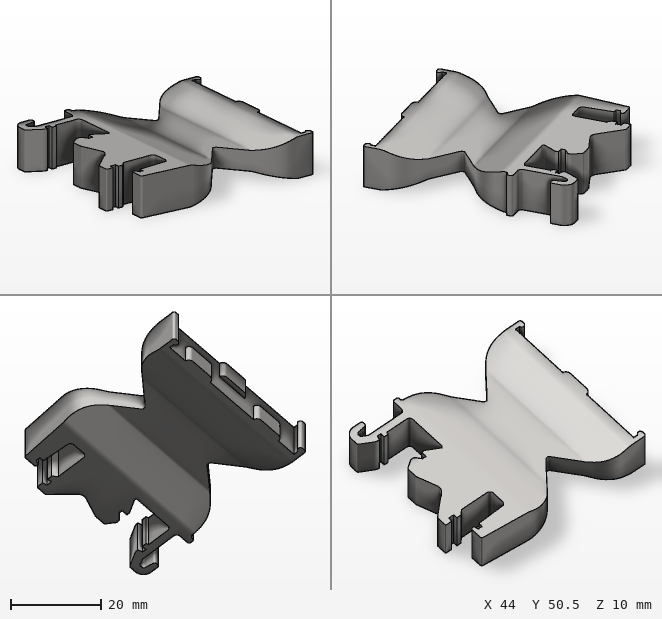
import cadquery as cq
import math


HEIGHT = 50.5
THICKNESS = 10.0

CENTRE_X = 22.45
UPPER_HALF_WIDTH = 21.5
DECK_TOP = 48.0

HOOK_STEM = 1.3
HOOK_BULB = 1.85
HOOK_BULB_DROP = 0.95
HOOK_NECK_DROP = 1.4
HOOK_OUTER_RADIUS = 0.55
HOOK_INNER_RADIUS = 0.7
HOOK_BULB_RADIUS = 0.3

TAB_COUNT = 3
TAB_PITCH = 11.1
TAB_WIDTH = 8.2
TAB_HEIGHT = 1.1
TAB_RADIUS = 1.3

NOTCH_Y = 31.0
NOTCH_HALF_GAP = 10.0
NOTCH_SLOPE = math.tan(math.radians(38.5))
NOTCH_RADIUS = 0.8
SHOULDER_RADIUS = 8.3

BAND_Y = 31.25
BAND_THICKNESS = THICKNESS / 2
BAND_HALF_WIDTH = 5.3
BAND_TAPER = math.radians(15)
BAND_INNER_RADIUS = 2.0
BAND_OUTER_RADIUS = 4.3

DECK_BOTTOM = 14.0
LOWER_LEFT_X = 1.3
LIP_TOP = 15.55
LIP_CHAMFER = 0.4
LIP_RADIUS = 0.45
LEG_ROOT_RADIUS = 1.0

LEFT_LEG_OUTER_X = 3.95
LEFT_LEG_INNER_X = 5.95
LEFT_CATCH_X = 6.55
LEFT_CATCH_TOP = 7.05
LEFT_CATCH_RAMP = 0.25
LEFT_CATCH_GROOVE_X = 5.4
LEFT_CATCH_GROOVE_TOP = 5.9
LEFT_CATCH_GROOVE_BOTTOM = 4.95
LEFT_CATCH_LIP = 4.55
LEFT_CATCH_NOSE = 3.9
LEFT_CATCH_NOSE_RADIUS = 2.4
LEFT_TOE_X = 4.35
LEFT_TOE_RADIUS = 0.5
LEFT_HOOK_RADIUS = 2.45
LEFT_HOOK_TOP = 5.0
LEFT_HOOK_TIP_X = 1.4
LEFT_HOOK_TIP_RADIUS = 0.5
LEFT_HOOK_GAP_FLOOR = 1.95
LEFT_HOOK_GAP_START_X = 1.9
LEFT_HOOK_GAP_END_X = 3.15
LEFT_HOOK_GAP_RADIUS = 0.5
LEFT_HOOK_GAP_TOP = 3.65

UNDERCUT_ROOT_X = 17.45
UNDERCUT_RADIUS = 0.4
BLOCK_LEFT_X = 15.3
BLOCK_NOSE_TOP = 10.2
BLOCK_NOSE_RADIUS = 0.4
BLOCK_GROOVE_X = 16.8
BLOCK_GROOVE_TOP = 9.4
BLOCK_GROOVE_BOTTOM = 8.4
LOBE_TOP = 7.15
LOBE_SIDE_BOTTOM = 6.2
LOBE_BOTTOM = 4.0
LOBE_BOTTOM_START_X = 16.8
LOBE_BOTTOM_END_X = 19.75
LOBE_RADIUS = 0.75
SADDLE_X = 26.0
SADDLE_Y = 6.25
SADDLE_RADIUS = 2.0
FOOT_LEFT_X = 31.7
FOOT_RIGHT_X = 34.55
FOOT_LEFT_RADIUS = 0.5
FOOT_RIGHT_RADIUS = 0.3
BLOCK_RIGHT_X = 33.45
FOOT_LIP = 1.7
FOOT_GROOVE_BOTTOM = 1.95
FOOT_GROOVE_TOP = 3.3
FOOT_CATCH_TOP = 4.45
FOOT_RAMP_TOP = 5.55

RIGHT_LEG_BOTTOM = 3.65
RIGHT_LEG_OUTER_FOOT_X = 42.5
RIGHT_LEG_OUTER_SLOPE = math.tan(math.radians(5))
RIGHT_LEG_INNER_ROOT_X = 38.5
RIGHT_LEG_INNER_SLOPE = math.tan(math.radians(3))
RIGHT_LEG_FOOT_RADIUS = 0.5
RIGHT_CATCH_X = 38.9
RIGHT_GROOVE_X = 40.0
RIGHT_GROOVE_TOP = 5.95
RIGHT_GROOVE_BOTTOM = 4.9
RIGHT_GROOVE_RADIUS = 0.2
RIGHT_CATCH_LIP = 4.5
RIGHT_CATCH_RADIUS = 0.5


def rounded_wire(plane, corners):
    """Closed wire through (u, v, radius) corners; a radius of 0 leaves the corner sharp."""
    path = cq.Workplane(plane)
    started = False
    for i, (u, v, radius) in enumerate(corners):
        before = cq.Vector(*corners[i - 1][:2])
        after = cq.Vector(*corners[(i + 1) % len(corners)][:2])
        corner = cq.Vector(u, v)
        to_before = (before - corner).normalized()
        to_after = (after - corner).normalized()
        half_angle = to_before.getAngle(to_after) / 2
        tangent_length = radius / math.tan(half_angle)
        centre_distance = radius / math.sin(half_angle)
        start = corner + to_before * tangent_length
        path = path.lineTo(start.x, start.y) if started else path.moveTo(start.x, start.y)
        started = True
        if radius > 0:
            bisector = (to_before + to_after).normalized()
            middle = corner + bisector * (centre_distance - radius)
            end = corner + to_after * tangent_length
            path = path.threePointArc((middle.x, middle.y), (end.x, end.y))
    return path.close()


def mirrored(corners):
    """The same corners on the other side of the centre line, in reverse order."""
    return [(2 * CENTRE_X - x, y, radius) for x, y, radius in reversed(corners)]


def left_hook():
    outer_x = CENTRE_X - UPPER_HALF_WIDTH
    stem_x = outer_x + HOOK_STEM
    bulb_x = outer_x + HOOK_BULB
    return [
        (outer_x, HEIGHT, HOOK_OUTER_RADIUS),
        (bulb_x, HEIGHT, HOOK_INNER_RADIUS),
        (bulb_x, HEIGHT - HOOK_BULB_DROP, HOOK_BULB_RADIUS),
        (stem_x, HEIGHT - HOOK_NECK_DROP, 0),
        (stem_x, DECK_TOP, 0),
    ]


def right_waist():
    """Right side from the upper plate, round the notch, to the outer face of the right leg."""
    upper_rise = (UPPER_HALF_WIDTH - NOTCH_HALF_GAP) * NOTCH_SLOPE
    notch_x = CENTRE_X + NOTCH_HALF_GAP
    leg_x_at_notch = RIGHT_LEG_OUTER_FOOT_X + (NOTCH_Y - RIGHT_LEG_BOTTOM) * RIGHT_LEG_OUTER_SLOPE
    shoulder_drop = (leg_x_at_notch - notch_x) * NOTCH_SLOPE / (1 + NOTCH_SLOPE * RIGHT_LEG_OUTER_SLOPE)
    shoulder_x = leg_x_at_notch - shoulder_drop * RIGHT_LEG_OUTER_SLOPE
    return [
        (CENTRE_X + UPPER_HALF_WIDTH, NOTCH_Y + upper_rise, SHOULDER_RADIUS),
        (notch_x, NOTCH_Y, NOTCH_RADIUS),
        (shoulder_x, NOTCH_Y - shoulder_drop, SHOULDER_RADIUS),
    ]


def right_leg():
    catch_drop = DECK_BOTTOM - RIGHT_GROOVE_TOP
    inner_x = RIGHT_LEG_INNER_ROOT_X + catch_drop * RIGHT_LEG_INNER_SLOPE
    return [
        (RIGHT_LEG_OUTER_FOOT_X, RIGHT_LEG_BOTTOM, RIGHT_LEG_FOOT_RADIUS),
        (RIGHT_CATCH_X, RIGHT_LEG_BOTTOM, RIGHT_CATCH_RADIUS),
        (RIGHT_CATCH_X, RIGHT_CATCH_LIP, 0),
        (RIGHT_GROOVE_X, RIGHT_GROOVE_BOTTOM, RIGHT_GROOVE_RADIUS),
        (RIGHT_GROOVE_X, RIGHT_GROOVE_TOP, 0),
        (inner_x, RIGHT_GROOVE_TOP, 0),
        (RIGHT_LEG_INNER_ROOT_X, DECK_BOTTOM, LEG_ROOT_RADIUS),
    ]


def middle_block():
    return [
        (BLOCK_RIGHT_X, DECK_BOTTOM, LEG_ROOT_RADIUS),
        (BLOCK_RIGHT_X, FOOT_RAMP_TOP, 0),
        (FOOT_RIGHT_X, FOOT_CATCH_TOP, 0),
        (FOOT_RIGHT_X, FOOT_GROOVE_TOP, 0),
        (BLOCK_RIGHT_X, FOOT_GROOVE_TOP, 0),
        (BLOCK_RIGHT_X, FOOT_GROOVE_BOTTOM, 0),
        (FOOT_RIGHT_X, FOOT_LIP, 0),
        (FOOT_RIGHT_X, 0, FOOT_RIGHT_RADIUS),
        (FOOT_LEFT_X, 0, FOOT_LEFT_RADIUS),
        (SADDLE_X, SADDLE_Y, SADDLE_RADIUS),
        (LOBE_BOTTOM_END_X, LOBE_BOTTOM, LOBE_RADIUS),
        (LOBE_BOTTOM_START_X, LOBE_BOTTOM, LOBE_RADIUS),
        (BLOCK_LEFT_X, LOBE_SIDE_BOTTOM, LOBE_RADIUS),
        (BLOCK_LEFT_X, LOBE_TOP, LOBE_RADIUS),
        (BLOCK_GROOVE_X, BLOCK_GROOVE_BOTTOM, 0),
        (BLOCK_GROOVE_X, BLOCK_GROOVE_TOP, 0),
        (BLOCK_LEFT_X, BLOCK_GROOVE_TOP, 0),
        (BLOCK_LEFT_X, BLOCK_NOSE_TOP, BLOCK_NOSE_RADIUS),
        (UNDERCUT_ROOT_X, DECK_BOTTOM, UNDERCUT_RADIUS),
    ]


def left_leg():
    return [
        (LEFT_LEG_INNER_X, DECK_BOTTOM, LEG_ROOT_RADIUS),
        (LEFT_LEG_INNER_X, LEFT_CATCH_TOP + LEFT_CATCH_RAMP, 0),
        (LEFT_CATCH_X, LEFT_CATCH_TOP, 0),
        (LEFT_CATCH_X, LEFT_CATCH_GROOVE_TOP, 0),
        (LEFT_CATCH_GROOVE_X, LEFT_CATCH_GROOVE_TOP, 0),
        (LEFT_CATCH_GROOVE_X, LEFT_CATCH_GROOVE_BOTTOM, 0),
        (LEFT_CATCH_X, LEFT_CATCH_LIP, 0),
        (LEFT_CATCH_X, LEFT_CATCH_NOSE, LEFT_CATCH_NOSE_RADIUS),
        (LEFT_TOE_X, 0, LEFT_TOE_RADIUS),
        (0, 0, LEFT_HOOK_RADIUS),
        (0, LEFT_HOOK_TOP, LEFT_HOOK_TIP_RADIUS),
        (LEFT_HOOK_TIP_X, LEFT_HOOK_TOP, LEFT_HOOK_TIP_RADIUS),
        (LEFT_HOOK_GAP_START_X, LEFT_HOOK_GAP_FLOOR, LEFT_HOOK_GAP_RADIUS),
        (LEFT_HOOK_GAP_END_X, LEFT_HOOK_GAP_FLOOR, LEFT_HOOK_GAP_RADIUS),
        (LEFT_LEG_OUTER_X, LEFT_HOOK_GAP_TOP, LEFT_HOOK_GAP_RADIUS),
        (LEFT_LEG_OUTER_X, DECK_BOTTOM, LEG_ROOT_RADIUS),
    ]


def left_lip():
    return [
        (0, DECK_BOTTOM, LIP_RADIUS),
        (0, LIP_TOP, LIP_RADIUS),
        (LOWER_LEFT_X - LIP_CHAMFER, LIP_TOP, 0),
        (LOWER_LEFT_X, LIP_TOP + LIP_CHAMFER, 0),
    ]


def left_waist():
    """Left side from the lower plate, round the notch, to the upper plate."""
    notch_x = CENTRE_X - NOTCH_HALF_GAP
    outer_x = CENTRE_X - UPPER_HALF_WIDTH
    lower_drop = (notch_x - LOWER_LEFT_X) * NOTCH_SLOPE
    upper_rise = (notch_x - outer_x) * NOTCH_SLOPE
    return [
        (LOWER_LEFT_X, NOTCH_Y - lower_drop, SHOULDER_RADIUS),
        (notch_x, NOTCH_Y, NOTCH_RADIUS),
        (outer_x, NOTCH_Y + upper_rise, SHOULDER_RADIUS),
    ]


def plate():
    """The full outline, extruded symmetrically about the mid-plane."""
    outline = left_hook() + mirrored(left_hook()) + right_waist()
    outline += right_leg() + middle_block() + left_leg() + left_lip() + left_waist()
    return rounded_wire("XY", outline).extrude(THICKNESS / 2, both=True)


def thickness_envelope():
    """Side profile that thins the plate to the band thickness across the waist."""
    half = THICKNESS / 2
    band_half = BAND_THICKNESS / 2
    ramp = (half - band_half) / math.tan(BAND_TAPER)
    upper_face = [
        (0, half, 0),
        (BAND_Y - BAND_HALF_WIDTH - ramp, half, BAND_OUTER_RADIUS),
        (BAND_Y - BAND_HALF_WIDTH, band_half, BAND_INNER_RADIUS),
        (BAND_Y + BAND_HALF_WIDTH, band_half, BAND_INNER_RADIUS),
        (BAND_Y + BAND_HALF_WIDTH + ramp, half, BAND_OUTER_RADIUS),
        (HEIGHT, half, 0),
    ]
    lower_face = [(y, -z, radius) for y, z, radius in reversed(upper_face)]
    return rounded_wire("YZ", upper_face + lower_face).extrude(HEIGHT)


def tab(index):
    """Round-shouldered tab of half the plate thickness; even and odd tabs take opposite halves."""
    middle_x = CENTRE_X + (index - (TAB_COUNT - 1) / 2) * TAB_PITCH
    left_x = middle_x - TAB_WIDTH / 2
    right_x = middle_x + TAB_WIDTH / 2
    root_y = DECK_TOP - TAB_HEIGHT
    tip_y = DECK_TOP + TAB_HEIGHT
    corners = [
        (left_x, root_y, 0),
        (left_x, tip_y, TAB_RADIUS),
        (right_x, tip_y, TAB_RADIUS),
        (right_x, root_y, 0),
    ]
    side = 1 if index % 2 else -1
    return rounded_wire("XY", corners).extrude(side * THICKNESS / 2)


result = plate().intersect(thickness_envelope())
for tab_index in range(TAB_COUNT):
    result = result.union(tab(tab_index))